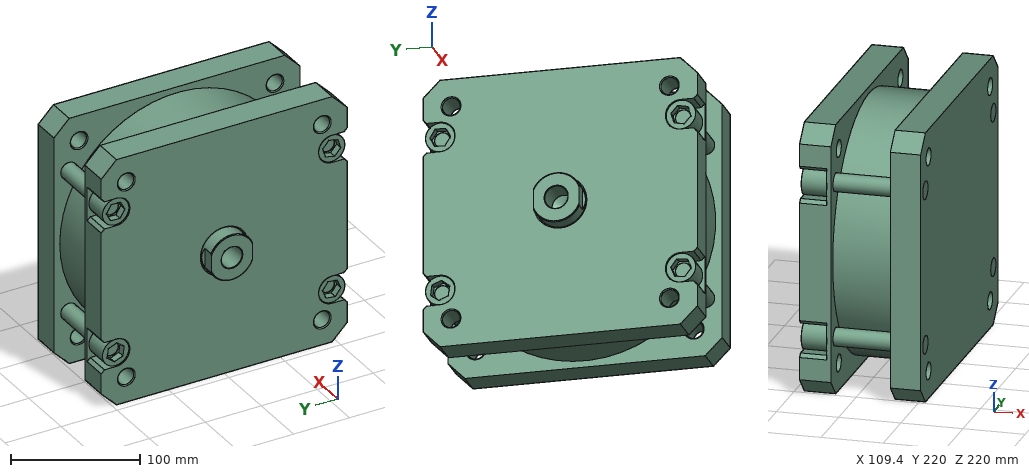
import cadquery as cq
import math

plate_side = 220.0
corner_chamfer = 13.6
front_plate_thickness = 25.3
rear_plate_thickness = 24.5

barrel_length = 47.7
barrel_diameter = 209.7

shaft_protrusion = 11.9
shaft_diameter = 40.5
shaft_bore_chamfer = 1.0
shaft_tip_chamfer = 0.7
flats_width = 36.7
flats_length = 10.0
shaft_hole_diameter = 18.5
shaft_hole_chamfer = 0.5
shaft_hole_depth = 22.0
drill_point_angle = 118.0

corner_hole_offset = 87.5
corner_hole_diameter = 14.0
corner_hole_chamfer = 0.9

bolt_y = 96.5
bolt_z = 63.1
bolt_shank_diameter = 14.7
bolt_head_diameter = 23.5
bolt_head_length = 21.0
head_slot_width = 24.5
head_slot_depth = 21.8
slot_mouth_chamfer = 2.9
socket_width = 14.3
socket_depth = 6.4
socket_relief_diameter = 12.3
socket_relief_depth = 0.5

front_plate_face = 0.0
barrel_start = front_plate_face + front_plate_thickness
rear_plate_start = barrel_start + barrel_length
rear_plate_end = rear_plate_start + rear_plate_thickness
shaft_tip = front_plate_face - shaft_protrusion
head_seat = front_plate_face + head_slot_depth
head_face = head_seat - bolt_head_length

signs = (-1, 1)
corner_hole_points = [(i * corner_hole_offset, j * corner_hole_offset) for i in signs for j in signs]
bolts_at = [
    (-bolt_y, -bolt_z, 7),
    (-bolt_y, bolt_z, 12),
    (bolt_y, -bolt_z, 38),
    (bolt_y, bolt_z, 2),
]
bolt_points = [(y, z) for y, z, turn in bolts_at]


def section_at(x):
    """Sketch plane across the X axis: local axes are Y and Z, the normal is +X."""
    return cq.Workplane("YZ", origin=(x, 0, 0))


def round_cutter(x_start, radius, chamfer, depth, point_length=0):
    """Cutter along X for a round hole with a 45-degree rim chamfer and an optional drill point."""
    x_end = x_start + depth
    profile = (
        cq.Workplane("XY")
        .moveTo(x_start, 0)
        .lineTo(x_start, radius + chamfer)
        .lineTo(x_start + chamfer, radius)
        .lineTo(x_end, radius)
        .lineTo(x_end + point_length, 0)
        .close()
    )
    return profile.revolve(360, (0, 0, 0), (1, 0, 0))


def make_plate(x_start, thickness):
    """Square plate with chamfered corners, corner holes and holes for the bolt shanks."""
    plate = section_at(x_start).rect(plate_side, plate_side).extrude(thickness)
    plate = plate.edges("|X").chamfer(corner_chamfer)
    hole = round_cutter(x_start, corner_hole_diameter / 2, corner_hole_chamfer, thickness)
    for y, z in corner_hole_points:
        plate = plate.cut(hole.translate((0, y, z)))
    shank_holes = (
        section_at(x_start).pushPoints(bolt_points).circle(bolt_shank_diameter / 2).extrude(thickness)
    )
    return plate.cut(shank_holes)


def make_head_slot(y, z):
    """Cutter for a round-ended slot, open at the plate side, with a chamfered mouth."""
    side = math.copysign(1, y)
    edge_y = side * plate_side / 2
    chamfer_y = edge_y - side * slot_mouth_chamfer
    half_width = head_slot_width / 2
    half_mouth = half_width + slot_mouth_chamfer
    return (
        section_at(front_plate_face)
        .moveTo(edge_y, z - half_mouth)
        .lineTo(chamfer_y, z - half_width)
        .lineTo(y, z - half_width)
        .threePointArc((y - side * half_width, z), (y, z + half_width))
        .lineTo(chamfer_y, z + half_width)
        .lineTo(edge_y, z + half_mouth)
        .close()
        .extrude(head_slot_depth)
    )


def make_front_plate():
    """Plate with the shaft bore and the bolt head slots."""
    plate = make_plate(front_plate_face, front_plate_thickness)
    bore_radius = shaft_diameter / 2
    bore = round_cutter(front_plate_face, bore_radius, shaft_bore_chamfer, front_plate_thickness)
    plate = plate.cut(bore)
    for y, z in bolt_points:
        plate = plate.cut(make_head_slot(y, z))
    return plate


def make_flat_cutter(side):
    """Cutter for the wrench flat on one Y side, ending in a 45-degree run-out."""
    flat_end = shaft_tip + flats_length
    flat_y = flats_width / 2
    clear_y = shaft_diameter
    return (
        cq.Workplane("XY", origin=(0, 0, -shaft_diameter / 2))
        .moveTo(shaft_tip, side * flat_y)
        .lineTo(flat_end, side * flat_y)
        .lineTo(flat_end + clear_y - flat_y, side * clear_y)
        .lineTo(shaft_tip, side * clear_y)
        .close()
        .extrude(shaft_diameter)
    )


def make_shaft():
    """Shaft with two flats at its tip and a drilled axial hole."""
    length = barrel_start - shaft_tip
    shaft = section_at(shaft_tip).circle(shaft_diameter / 2).extrude(length)
    shaft = shaft.faces("<X").chamfer(shaft_tip_chamfer)
    for side in signs:
        shaft = shaft.cut(make_flat_cutter(side))
    hole_radius = shaft_hole_diameter / 2
    point_length = hole_radius / math.tan(math.radians(drill_point_angle / 2))
    drilled_hole = round_cutter(shaft_tip, hole_radius, shaft_hole_chamfer, shaft_hole_depth, point_length)
    return shaft.cut(drilled_hole)


def make_bolt(y, z, socket_turn):
    """Socket-head bolt whose shank runs through both plates to the rear face."""
    head = section_at(head_face).center(y, z).circle(bolt_head_diameter / 2).extrude(bolt_head_length)
    shank = (
        section_at(head_seat)
        .center(y, z)
        .circle(bolt_shank_diameter / 2)
        .extrude(rear_plate_end - head_seat)
    )
    socket_corners = socket_width / math.cos(math.radians(30))
    socket = (
        section_at(head_face)
        .polygon(6, socket_corners)
        .extrude(socket_depth)
        .rotate((0, 0, 0), (1, 0, 0), socket_turn)
        .translate((0, y, z))
    )
    relief = (
        section_at(head_face + socket_depth)
        .center(y, z)
        .circle(socket_relief_diameter / 2)
        .extrude(socket_relief_depth)
    )
    return head.union(shank).cut(socket).cut(relief)


front_plate = make_front_plate()
rear_plate = make_plate(rear_plate_start, rear_plate_thickness)
barrel = section_at(barrel_start).circle(barrel_diameter / 2).extrude(barrel_length)
shaft = make_shaft()
bolts = [make_bolt(y, z, turn) for y, z, turn in bolts_at]

result = cq.Compound.makeCompound(
    [
        front_plate.val(),
        rear_plate.val(),
        barrel.val(),
        shaft.val(),
        *[bolt.val() for bolt in bolts],
    ]
)